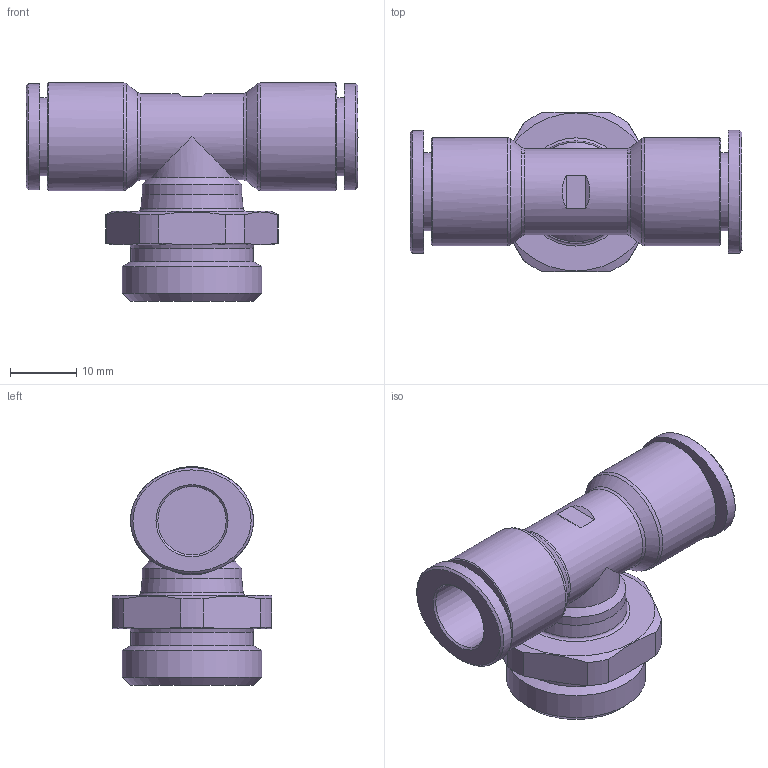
import cadquery as cq
import math


run_half_length = 25.0
tube_radius = 6.5
socket_radius = 8.15
socket_end_x = 21.8
socket_end_chamfer = 0.15
shoulder_outer_x = 10.05
shoulder_inner_x = 8.0
shoulder_fillet = 0.8

ring_thickness = 2.05
ring_half_width = 9.25
ring_half_height = 8.0
ring_chamfer = 0.35
neck_radius = 5.87
bore_radius = 5.15
bore_mouth_chamfer = 0.28
bore_depth = 15.0

notch_floor_length = 2.9
notch_chord = 5.0
notch_wall_run = 0.65

branch_cone_top_z = -6.17
collar_radius = 7.5
collar_top_z = -7.18
collar_taper_z = -8.68
collar_base_radius = 7.7
collar_fillet = 0.45

hex_top_z = -11.25
hex_height = 5.0
hex_across_flats = 24.0
hex_corner_radius = 13.0
hex_top_circle_radius = 11.9
hex_top_chamfer_height = 0.5
hex_bottom_chamfer_height = 0.2

undercut_radius = 9.2
undercut_flare = 0.2
undercut_flare_height = 0.55
undercut_end_z = -18.8
plug_radius = 10.5
plug_top_z = -19.55
plug_chamfer = 1.22
bottom_z = -24.8

hex_bottom_z = hex_top_z - hex_height


def run_body():
    """Middle tube and both sockets, turned about X."""
    half_profile = [
        (socket_end_x, 0),
        (socket_end_x, socket_radius - socket_end_chamfer),
        (socket_end_x - socket_end_chamfer, socket_radius),
        (shoulder_outer_x, socket_radius),
        (shoulder_inner_x, tube_radius),
    ]
    mirrored_profile = [(-x, r) for x, r in reversed(half_profile)]
    body = cq.Workplane("XY").polyline(half_profile + mirrored_profile).close()
    body = body.revolve(360, (0, 0, 0), (1, 0, 0))
    for side in (-1, 1):
        for x in (shoulder_outer_x, shoulder_inner_x):
            corner = cq.selectors.NearestToPointSelector((side * x, 0, 0))
            body = body.edges("%CIRCLE").edges(corner).fillet(shoulder_fillet)
    return body


def release_ring(side):
    """Oval ring and round neck at one end; side is -1 or 1."""
    ring = (
        cq.Workplane("YZ")
        .workplane(offset=run_half_length - ring_thickness)
        .ellipse(ring_half_width, ring_half_height)
        .extrude(ring_thickness)
        .faces(">X")
        .edges()
        .chamfer(ring_chamfer)
    )
    neck = (
        cq.Workplane("YZ")
        .workplane(offset=shoulder_outer_x)
        .circle(neck_radius)
        .extrude(run_half_length - ring_thickness - shoulder_outer_x)
    )
    return turn_to_side(ring.union(neck), side)


def tube_bore(side):
    """Blind tube hole with a chamfered mouth at one end."""
    mouth_x = run_half_length - bore_mouth_chamfer
    floor_x = run_half_length - bore_depth
    profile = [
        (floor_x, 0),
        (floor_x, bore_radius),
        (mouth_x, bore_radius),
        (run_half_length, bore_radius + bore_mouth_chamfer),
        (run_half_length, 0),
    ]
    bore = cq.Workplane("XY").polyline(profile).close().revolve(360, (0, 0, 0), (1, 0, 0))
    return turn_to_side(bore, side)


def turn_to_side(shape, side):
    """Leave a +X shape in place, or turn it half round Z to the -X end."""
    return shape if side > 0 else shape.rotate((0, 0, 0), (0, 0, 1), 180)


def top_notch():
    """Notch cutter with walls that lean outward."""
    floor_z = math.sqrt(tube_radius**2 - (notch_chord / 2) ** 2)
    half_floor = notch_floor_length / 2
    half_top = half_floor + notch_wall_run
    profile = [
        (-half_floor, floor_z),
        (half_floor, floor_z),
        (half_top, tube_radius),
        (-half_top, tube_radius),
    ]
    return cq.Workplane("XZ").polyline(profile).close().extrude(tube_radius, both=True)


def branch():
    """Collar, core and plug end, turned about Z."""
    profile = (
        cq.Workplane("XZ")
        .moveTo(0, 0)
        .lineTo(tube_radius, 0)
        .lineTo(tube_radius, branch_cone_top_z)
        .lineTo(collar_radius, collar_top_z)
        .lineTo(collar_radius, collar_taper_z)
        .lineTo(collar_base_radius, hex_top_z + collar_fillet)
        .radiusArc((collar_base_radius + collar_fillet, hex_top_z), -collar_fillet)
        .lineTo(undercut_radius + undercut_flare, hex_bottom_z)
        .lineTo(undercut_radius, hex_bottom_z - undercut_flare_height)
        .lineTo(undercut_radius, undercut_end_z)
        .lineTo(plug_radius, plug_top_z)
        .lineTo(plug_radius, bottom_z + plug_chamfer)
        .lineTo(plug_radius - plug_chamfer, bottom_z)
        .lineTo(0, bottom_z)
        .close()
    )
    return profile.revolve(360, (0, 0, 0), (0, 1, 0))


def hexagon():
    """Hexagon with flats facing Y, its corners rounded and chamfered by a turned blank."""
    across_corners = hex_across_flats / math.cos(math.pi / 6)
    prism = (
        cq.Workplane("XY")
        .workplane(offset=hex_bottom_z)
        .polygon(6, across_corners)
        .extrude(hex_height)
    )
    blank_profile = [
        (0, hex_bottom_z),
        (hex_top_circle_radius, hex_bottom_z),
        (hex_corner_radius, hex_bottom_z + hex_bottom_chamfer_height),
        (hex_corner_radius, hex_top_z - hex_top_chamfer_height),
        (hex_top_circle_radius, hex_top_z),
        (0, hex_top_z),
    ]
    blank = cq.Workplane("XZ").polyline(blank_profile).close().revolve(360, (0, 0, 0), (0, 1, 0))
    return prism.intersect(blank)


result = run_body().cut(top_notch()).union(branch()).union(hexagon())
for end in (-1, 1):
    result = result.union(release_ring(end)).cut(tube_bore(end))